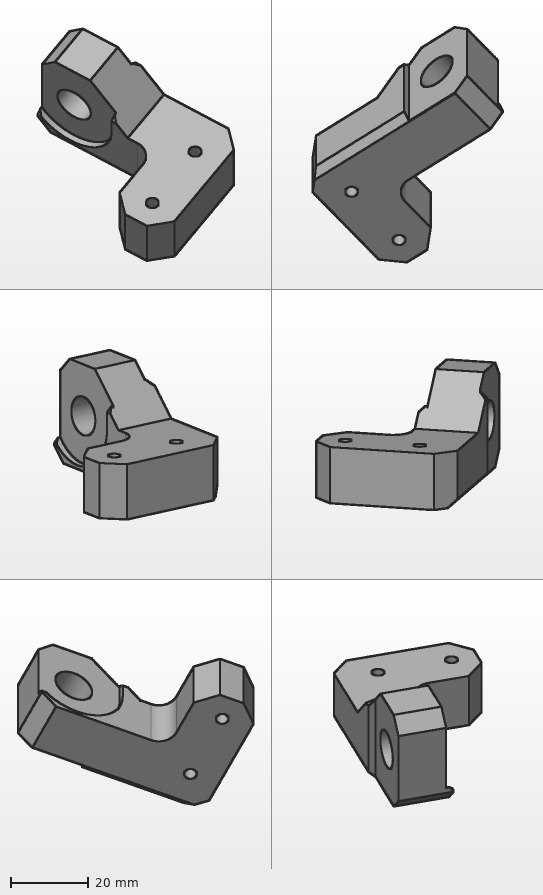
import cadquery as cq

LENGTH = 53.0
DEPTH = 38.0
HEIGHT = 28.0

BODY_HEIGHT = 15.0
LIMB_WIDTH = 17.0
ARM_END_CHAMFER = 5.15
BACK_CORNER_CHAMFER = 5.0
INNER_FILLET = 5.0

BLOCK_TOP_LENGTH = 15.0
BLOCK_CHAMFER = 4.1
BORE_X = 10.0
BORE_Z = 14.0
BORE_DIAMETER = 10.4
SEAT_RADIUS = 13.0
STEP_DEPTH = 2.0
BACK_STEP_LENGTH = 19.1
BACK_EDGE_CHAMFER = 2.1

UPPER_TIP_BEVEL = 1.45
LOWER_TIP_BEVEL_Z = 4.45
BACK_TIP_BEVEL = 1.75

MOUNT_HOLE_DIAMETER = 3.3
MOUNT_HOLE_X = 44.95
MOUNT_HOLE_YS = (7.0, 27.0)

ARM_LEFT = LENGTH - LIMB_WIDTH
BODY_FRONT = DEPTH - LIMB_WIDTH
SEAT_RIGHT = BORE_X + SEAT_RADIUS
SLOPE_SUM = BLOCK_TOP_LENGTH + HEIGHT


def prism_along_y(outline, y_start, y_end):
    """Extrude a closed XZ outline from y_start to y_end."""
    plane = cq.Workplane("XZ", origin=(0, y_start, 0))
    return plane.polyline(outline).close().extrude(y_start - y_end)


def prism_along_x(outline, x_start, x_end):
    """Extrude a closed YZ outline from x_start to x_end."""
    plane = cq.Workplane("YZ", origin=(x_start, 0, 0))
    return plane.polyline(outline).close().extrude(x_end - x_start)


def box_between(low, high):
    """Box spanning two opposite corners."""
    sizes = [b - a for a, b in zip(low, high)]
    return cq.Workplane("XY").box(*sizes, centered=False).translate(low)


def make_plan():
    """L-shaped plan, as tall as the whole part."""
    return (
        cq.Workplane("XY")
        .moveTo(0, DEPTH)
        .lineTo(LENGTH - BACK_CORNER_CHAMFER, DEPTH)
        .lineTo(LENGTH, DEPTH - BACK_CORNER_CHAMFER)
        .lineTo(LENGTH, ARM_END_CHAMFER)
        .lineTo(LENGTH - ARM_END_CHAMFER, 0)
        .lineTo(ARM_LEFT + ARM_END_CHAMFER, 0)
        .lineTo(ARM_LEFT, ARM_END_CHAMFER)
        .lineTo(ARM_LEFT, BODY_FRONT - INNER_FILLET)
        .radiusArc((ARM_LEFT - INNER_FILLET, BODY_FRONT), -INNER_FILLET)
        .lineTo(0, BODY_FRONT)
        .close()
        .extrude(HEIGHT)
    )


def make_profile():
    """Side profile: chamfered bearing block sloping down to the flat body."""
    outline = [
        (BLOCK_CHAMFER, 0),
        (LENGTH, 0),
        (LENGTH, BODY_HEIGHT),
        (SLOPE_SUM - BODY_HEIGHT, BODY_HEIGHT),
        (BLOCK_TOP_LENGTH, HEIGHT),
        (BLOCK_CHAMFER, HEIGHT),
        (0, HEIGHT - BLOCK_CHAMFER),
        (0, BLOCK_CHAMFER),
    ]
    return prism_along_y(outline, 0, DEPTH)


def make_front_seat():
    """Round-bottomed seat in the front face, open to the left and top."""
    seat_back = BODY_FRONT + STEP_DEPTH
    round_part = (
        cq.Workplane("XZ", origin=(0, BODY_FRONT, 0))
        .center(BORE_X, BORE_Z)
        .circle(SEAT_RADIUS)
        .extrude(-STEP_DEPTH)
    )
    open_part = box_between((0, BODY_FRONT, BORE_Z), (SEAT_RIGHT, seat_back, HEIGHT))
    return round_part.union(open_part)


def make_bore():
    return (
        cq.Workplane("XZ")
        .center(BORE_X, BORE_Z)
        .circle(BORE_DIAMETER / 2)
        .extrude(-DEPTH)
    )


def make_front_tip_bevels():
    """45 degree cuts at the upper right and lower left tips of the seat wall."""
    upper_z = SLOPE_SUM - SEAT_RIGHT - UPPER_TIP_BEVEL
    upper_right = SEAT_RIGHT + UPPER_TIP_BEVEL
    bevels = []
    for x_start, x_end, z in (
        (SEAT_RIGHT, upper_right, upper_z),
        (0, BORE_X, LOWER_TIP_BEVEL_Z),
    ):
        wedge = [
            (BODY_FRONT, z),
            (BODY_FRONT + STEP_DEPTH, z + STEP_DEPTH),
            (BODY_FRONT, z + STEP_DEPTH),
        ]
        bevels.append(prism_along_x(wedge, x_start, x_end))
    return bevels[0].union(bevels[1])


def make_back_step():
    """Full-height step behind the bearing block, with its upper tip bevelled."""
    step_front = DEPTH - STEP_DEPTH
    step = box_between((0, step_front, 0), (BACK_STEP_LENGTH, DEPTH, HEIGHT))
    tip_z = SLOPE_SUM - BACK_STEP_LENGTH
    wedge = [
        (step_front, tip_z),
        (DEPTH, tip_z),
        (DEPTH, tip_z - BACK_TIP_BEVEL),
    ]
    bevel_end = BACK_STEP_LENGTH + BACK_TIP_BEVEL
    return step.union(prism_along_x(wedge, BACK_STEP_LENGTH, bevel_end))


def make_back_edge_chamfer():
    """Chamfer along the whole lower back edge."""
    wedge = [
        (DEPTH, 0),
        (DEPTH, BACK_EDGE_CHAMFER),
        (DEPTH - BACK_EDGE_CHAMFER, 0),
    ]
    return prism_along_x(wedge, 0, LENGTH)


def make_mount_holes():
    return (
        cq.Workplane("XY")
        .pushPoints([(MOUNT_HOLE_X, y) for y in MOUNT_HOLE_YS])
        .circle(MOUNT_HOLE_DIAMETER / 2)
        .extrude(HEIGHT)
    )


result = make_plan().intersect(make_profile())
for cutter in (
    make_front_seat(),
    make_bore(),
    make_front_tip_bevels(),
    make_back_step(),
    make_back_edge_chamfer(),
    make_mount_holes(),
):
    result = result.cut(cutter)